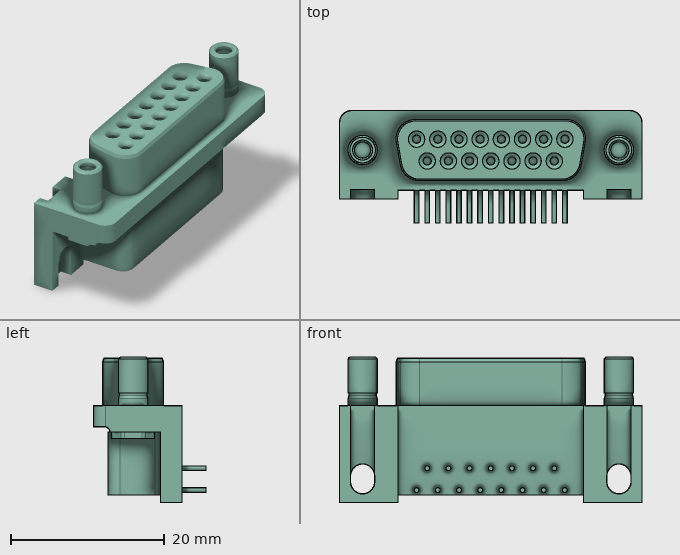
import cadquery as cq
import math


overall_width = 39.37
flange_top = 12.6
flange_back = 11.55
flange_corner_radius = 1.57
flange_thickness = 3.43
flange_rim_thickness = 2.75
rim_fillet_radius = flange_thickness - flange_rim_thickness
rim_front = 10.08
leg_width = 7.65
leg_thickness = 2.85

slot_width = 3.1
slot_bottom = 1.15
slot_height = 3.85
groove_depth = 1.25

body_front = 1.15
body_back = 9.65
body_bottom = 0.95
body_back_radius = 1.57
body_leg_fillet_radius = 0.7

shell_top = 18.78
shell_width = 24.65
shell_depth = 7.95
body_width = shell_width
shell_corner_radius = 2.5
shell_side_angle = 10.0
shell_chamfer_height = 0.47
shell_chamfer_inset = 0.2
connector_y = 6.38

contact_pitch = 2.75
row_spacing = 2.85
long_row_count = 8
socket_diameter = 1.05
socket_mouth_diameter = 2.13
socket_depth = 1.0
pin_diameter = 0.63
pin_tip_y = -3.1
upper_pin_z = 4.45

post_spacing = 33.35
post_top = 18.95
post_diameter = 3.8
neck_diameter = 3.6
post_chamfer = 0.25
post_base_height = 0.9
neck_bottom_height = 1.3
neck_top_height = 1.65
bore_diameter = 2.13
bore_mouth_diameter = 2.6
bore_depth = 0.85
nut_across_flats = 5.0
nut_height = 0.85
nut_corner_radius = 0.5

flange_bottom = flange_top - flange_thickness
post_positions = (-post_spacing / 2, post_spacing / 2)


def box(x_range, y_range, z_range):
    """Box spanning the given (low, high) ranges."""
    lows, highs = zip(x_range, y_range, z_range)
    size = [high - low for low, high in zip(lows, highs)]
    return cq.Workplane("XY").box(*size, centered=False).translate(lows)


def make_flange():
    """Flange plate, with a thinner rim along the back that blends into it by a concave fillet."""
    arc_offset = rim_fillet_radius * math.sqrt(0.5)
    plate = (
        cq.Workplane("YZ", origin=(-overall_width / 2, 0, 0))
        .moveTo(0, flange_top)
        .lineTo(0, flange_bottom)
        .lineTo(rim_front - rim_fillet_radius, flange_bottom)
        .threePointArc(
            (rim_front - arc_offset, flange_bottom + arc_offset),
            (rim_front, flange_top - flange_rim_thickness),
        )
        .lineTo(flange_back, flange_top - flange_rim_thickness)
        .lineTo(flange_back, flange_top)
        .close()
        .extrude(overall_width)
    )
    plate = plate.edges("|Z and >Y").fillet(flange_corner_radius)
    inner_half = overall_width / 2 - leg_width
    return plate.cut(box((-inner_half, inner_half), (0, body_front), (0, flange_top)))


def make_leg(side):
    """Mounting leg at one end of the flange; side is -1 or 1."""
    outer = side * overall_width / 2
    inner = outer - side * leg_width
    return box(sorted((inner, outer)), (0, leg_thickness), (0, flange_top))


def make_slot(x):
    """Cutter for the leg slot, the front groove above it and the rear groove below it."""
    slot_center_z = slot_bottom + slot_height / 2
    slot = (
        cq.Workplane("XZ", origin=(x, 0, slot_center_z))
        .slot2D(slot_height, slot_width, 90)
        .extrude(-leg_thickness)
    )
    groove_x = (x - slot_width / 2, x + slot_width / 2)
    front_groove = box(groove_x, (0, groove_depth), (slot_center_z, flange_top))
    rear_groove = box(groove_x, (groove_depth, leg_thickness), (0, slot_center_z))
    return slot.union(front_groove).union(rear_groove)


def make_body():
    """Front wall between the legs, and a block behind it that blends into the legs."""
    wall_half = overall_width / 2 - leg_width
    block_half = body_width / 2
    wall = box((-wall_half, wall_half), (body_front, leg_thickness), (body_bottom, flange_top))
    block = box((-block_half, block_half), (leg_thickness, body_back), (body_bottom, flange_bottom))
    block = block.edges("|Z and >Y").fillet(body_back_radius)
    body = wall.union(block)
    radius = body_leg_fillet_radius
    for side in (-1, 1):
        wall_x = side * block_half
        arc_x = wall_x + side * radius
        arc_y = leg_thickness + radius
        x_range = sorted((wall_x, arc_x))
        corner = box(x_range, (leg_thickness, arc_y), (body_bottom, flange_bottom))
        rounding = cq.Workplane("XY", origin=(arc_x, arc_y, 0)).circle(radius).extrude(flange_bottom)
        body = body.union(corner.cut(rounding))
    return body


def make_shell():
    """D-shaped shell, wider at the back, with a chamfered top edge."""
    half_depth = shell_depth / 2
    radius = shell_corner_radius
    slope = math.tan(math.radians(shell_side_angle))
    corner_gap = radius / math.cos(math.radians(shell_side_angle)) + radius * slope
    back_half = shell_width / 2 - radius + corner_gap
    front_half = back_half - shell_depth * slope
    shell = (
        cq.Workplane("XY", origin=(0, connector_y, flange_top))
        .polyline(
            [
                (-back_half, half_depth),
                (back_half, half_depth),
                (front_half, -half_depth),
                (-front_half, -half_depth),
            ]
        )
        .close()
        .extrude(shell_top - flange_top)
        .edges("|Z")
        .fillet(radius)
    )
    return shell.faces(">Z").chamfer(shell_chamfer_height, shell_chamfer_inset)


def row_positions(count):
    """X positions of a centred row of contacts."""
    return [(i - (count - 1) / 2) * contact_pitch for i in range(count)]


def make_bore(x, y, top, mouth_diameter, diameter, depth):
    """Cutter for a blind hole with a 45 degree mouth."""
    mouth_depth = (mouth_diameter - diameter) / 2
    return (
        cq.Workplane("XZ", origin=(x, y, top))
        .polyline(
            [
                (0, 0),
                (mouth_diameter / 2, 0),
                (diameter / 2, -mouth_depth),
                (diameter / 2, -depth),
                (0, -depth),
            ]
        )
        .close()
        .revolve(360, (0, 0, 0), (0, 1, 0))
    )


def make_pin(x, z):
    """Straight pin standing out of the body front."""
    return (
        cq.Workplane("XZ", origin=(x, pin_tip_y, z))
        .circle(pin_diameter / 2)
        .extrude(pin_tip_y - leg_thickness)
    )


def make_post(x):
    """Screw post with a waisted neck near its base and a blind bore in its top."""
    radius = post_diameter / 2
    height = post_top - flange_top
    post = (
        cq.Workplane("XZ", origin=(x, connector_y, flange_top))
        .polyline(
            [
                (0, 0),
                (radius, 0),
                (radius, post_base_height),
                (neck_diameter / 2, neck_bottom_height),
                (neck_diameter / 2, neck_top_height),
                (radius, neck_top_height),
                (radius, height - post_chamfer),
                (radius - post_chamfer, height),
                (0, height),
            ]
        )
        .close()
        .revolve(360, (0, 0, 0), (0, 1, 0))
    )
    return post.cut(
        make_bore(x, connector_y, post_top, bore_mouth_diameter, bore_diameter, bore_depth)
    )


def make_nut(x):
    """Hexagonal nut under the flange, its flats facing along X."""
    across_corners = nut_across_flats / math.cos(math.radians(30))
    return (
        cq.Workplane("XY")
        .polygon(6, across_corners)
        .extrude(-nut_height)
        .edges("|Z")
        .fillet(nut_corner_radius)
        .rotate((0, 0, 0), (0, 0, 1), 90)
        .translate((x, connector_y, flange_bottom))
    )


result = make_flange().union(make_body()).union(make_shell())

for side in (-1, 1):
    result = result.union(make_leg(side))

for x in post_positions:
    result = result.union(make_post(x)).union(make_nut(x)).cut(make_slot(x))

contact_rows = (
    (long_row_count, row_spacing / 2, upper_pin_z - row_spacing),
    (long_row_count - 1, -row_spacing / 2, upper_pin_z),
)
for count, socket_offset, pin_z in contact_rows:
    for x in row_positions(count):
        socket_y = connector_y + socket_offset
        result = result.cut(
            make_bore(x, socket_y, shell_top, socket_mouth_diameter, socket_diameter, socket_depth)
        )
        result = result.union(make_pin(x, pin_z))